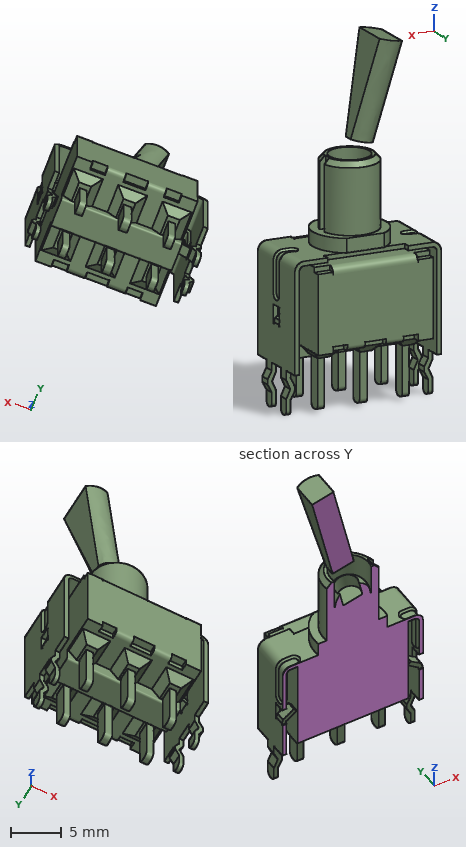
import cadquery as cq
import math


SHEET = 0.5
BRACKET_HALF_X = 8.1
BRACKET_WIDTH = 8.1
BEND_RADIUS = 1.0
LEG_BOTTOM = -11.7
WAIST_HALF_X = 4.47
WAIST_HALF_Y = 3.23

RIB_DEPTH = 0.23
RIB_HALF_MOUTH = 0.65
RIB_HALF_FLOOR = 0.4
RIB_END_X = 6.4
RIB_END_Z = -4.35

WINDOW_WIDTH = 1.3
WINDOW_TOP = -5.55
WINDOW_BOTTOM = -7.55
TAB_WIDTH = 1.05
TAB_TIP_TOP_X = 6.73
TAB_TIP_TOP_Z = -6.1
TAB_TIP_LOW_Z = -6.45
TAB_ROOT_TOP_Z = -6.95
TAB_ROOT_LOW_Z = -7.35
TAB_BEND_SETBACK = 0.15

TAIL_WIDTH = 1.2
TAIL_Y = 1.58
TAIL_BOTTOM = -16.38
KINK = 0.45
KINK_TOP = -12.5
KINK_MIDDLE = -13.65
KINK_FLAT = 0.55
HOLLOW_SETBACK = 0.15
TIP_RADIUS = 0.55

HOUSING_HALF_X = 6.4
HOUSING_HALF_Y = 5.7
HOUSING_TOP = -SHEET
HOUSING_BOTTOM = -9.4
COVER_HALF_X = 4.7
COVER_RADIUS = 0.8
COVER_BOTTOM = -8.7
POST_TOP = -1.0
HOOK_X = 2.15
HOOK_WIDTH = 1.95
HOOK_LIP = 0.15
BASE_HALF_Y = 1.5
BASE_BOTTOM = -10.85
BASE_ROUNDING = 0.23

PIN_PITCH_X = 4.7
PIN_Y = 2.33
PIN_DEPTH_Y = 1.43
OUTER_PIN_WIDTH = 0.75
MIDDLE_PIN_WIDTH = 0.85
PIN_BOTTOM = -15.95
ROOT_BOTTOM = -10.4
ROOT_TOP_X = 3.08
ROOT_TOP_Y = 4.3
ROOT_LOW_X = 1.28
ROOT_LOW_Y = 2.48

FLANGE_DIAMETER = 8.08
FLANGE_HALF_FLATS = 3.45
FLANGE_TOP = 1.5
BUSHING_DIAMETER = 6.15
BUSHING_TOP = 9.05
BUSHING_CHAMFER_SIDE = 0.53
BUSHING_CHAMFER_HEIGHT = 0.55
BORE_DIAMETER = 4.4
KEYWAY_WIDTH = 0.98
KEYWAY_FLOOR_X = 2.35

PIVOT_Z = 5.55
BALL_RADIUS = 2.15
SOCKET_DIAMETER = 2.55
LEVER_TILT = math.radians(12.7)
LEVER_START = 4.95
LEVER_LENGTH = 10.8
LEVER_THICKNESS = 2.55
LEVER_TOP_DIAMETER = 5.1
LEVER_LOW_DIAMETER = 2.78

LEG_INNER_X = BRACKET_HALF_X - SHEET


def box(x0, x1, y0, y1, z0, z1):
    """Axis-aligned block between two opposite corners."""
    return cq.Workplane("XY").box(x1 - x0, y1 - y0, z1 - z0, centered=False).translate((x0, y0, z0))


def mirrored_x(shape):
    """A shape together with its mirror image on the other side of X = 0."""
    return shape.union(shape.mirror("YZ"))


def mirrored_y(shape):
    """A shape together with its mirror image on the other side of Y = 0."""
    return shape.union(shape.mirror("XZ"))


def xz_prism(points, width, y_middle=0.0):
    """Polygon in the XZ plane, extruded to a width centred on y_middle."""
    prism = cq.Workplane("XZ").polyline(points).close().extrude(width / 2, both=True)
    return prism.translate((0, y_middle, 0))


def along_lever(distance):
    """Plane across the lever axis, at a distance from the pivot."""
    axis = (-math.sin(LEVER_TILT), 0, math.cos(LEVER_TILT))
    origin = (axis[0] * distance, 0, PIVOT_Z + axis[2] * distance)
    return cq.Plane(origin=origin, xDir=(axis[2], 0, -axis[0]), normal=axis)


def bent_strip():
    """U-shaped strip with rounded bends, narrowed beside the flange."""
    outside = box(-BRACKET_HALF_X, BRACKET_HALF_X, -BRACKET_WIDTH / 2, BRACKET_WIDTH / 2, LEG_BOTTOM, 0)
    outside = outside.edges("|Y and >Z").fillet(BEND_RADIUS)
    inside = box(-LEG_INNER_X, LEG_INNER_X, -BRACKET_WIDTH / 2, BRACKET_WIDTH / 2, LEG_BOTTOM, -SHEET)
    inside = inside.edges("|Y and >Z").fillet(BEND_RADIUS - SHEET)
    side_notch = box(-WAIST_HALF_X, WAIST_HALF_X, WAIST_HALF_Y, BRACKET_WIDTH / 2, -SHEET, 0)
    return outside.cut(inside).cut(mirrored_y(side_notch))


def pressed_rib(level):
    """Tapered bar that follows the bend at a depth of level below the outer faces."""
    radius = BEND_RADIUS - level
    side_x = BRACKET_HALF_X - level
    bend_x = BRACKET_HALF_X - BEND_RADIUS
    slant = radius * math.sqrt(0.5)
    path = (
        cq.Workplane("XZ")
        .moveTo(RIB_END_X, -level)
        .lineTo(bend_x, -level)
        .threePointArc((bend_x + slant, slant - BEND_RADIUS), (side_x, -BEND_RADIUS))
        .lineTo(side_x, RIB_END_Z)
    )
    section = (
        cq.Workplane("YZ", origin=(RIB_END_X, 0, -level))
        .polyline([
            (-RIB_HALF_MOUTH, 0),
            (RIB_HALF_MOUTH, 0),
            (RIB_HALF_FLOOR, -RIB_DEPTH),
            (-RIB_HALF_FLOOR, -RIB_DEPTH),
        ])
        .close()
    )
    bar = section.sweep(path)
    ends = [((RIB_END_X, 0, -level), (0, 0, -1)), ((side_x, 0, RIB_END_Z), (-1, 0, 0))]
    for centre, inward in ends:
        cone = cq.Solid.makeCone(
            RIB_HALF_MOUTH, RIB_HALF_FLOOR, RIB_DEPTH, cq.Vector(*centre), cq.Vector(*inward)
        )
        bar = bar.union(cq.Workplane(cone))
    return bar


def latch_window():
    return box(
        LEG_INNER_X, BRACKET_HALF_X, -WINDOW_WIDTH / 2, WINDOW_WIDTH / 2, WINDOW_BOTTOM, WINDOW_TOP
    )


def latch_tab():
    """Tab that leans inward until its tip meets the housing."""
    points = [
        (BRACKET_HALF_X, WINDOW_BOTTOM),
        (BRACKET_HALF_X, TAB_ROOT_LOW_Z),
        (BRACKET_HALF_X - TAB_BEND_SETBACK, TAB_ROOT_TOP_Z),
        (TAB_TIP_TOP_X, TAB_TIP_TOP_Z),
        (HOUSING_HALF_X, TAB_TIP_LOW_Z),
        (LEG_INNER_X, TAB_ROOT_LOW_Z),
        (LEG_INNER_X, WINDOW_BOTTOM),
    ]
    return xz_prism(points, TAB_WIDTH)


def tail(side):
    """Round-tipped tail at Y = side * TAIL_Y; -1 kinks outward and +1 kinks inward."""
    kink_bottom = 2 * KINK_MIDDLE - KINK_TOP
    if side < 0:
        bulging_x, hollow_x, shift = BRACKET_HALF_X, LEG_INNER_X, KINK
    else:
        bulging_x, hollow_x, shift = LEG_INNER_X, BRACKET_HALF_X, -KINK
    points = [
        (bulging_x, LEG_BOTTOM),
        (bulging_x, KINK_TOP),
        (bulging_x + shift, KINK_MIDDLE + KINK_FLAT / 2),
        (bulging_x + shift, KINK_MIDDLE - KINK_FLAT / 2),
        (bulging_x, kink_bottom),
        (bulging_x, TAIL_BOTTOM),
        (hollow_x, TAIL_BOTTOM),
        (hollow_x, kink_bottom + HOLLOW_SETBACK),
        (hollow_x + shift, KINK_MIDDLE),
        (hollow_x, KINK_TOP - HOLLOW_SETBACK),
        (hollow_x, LEG_BOTTOM),
    ]
    blank = xz_prism(points, TAIL_WIDTH, side * TAIL_Y)
    return blank.faces("<Z").edges("|X").fillet(TIP_RADIUS)


def bracket():
    leg_features = pressed_rib(SHEET).union(latch_tab()).union(tail(-1)).union(tail(1))
    strip = bent_strip().cut(mirrored_x(pressed_rib(0))).cut(mirrored_x(latch_window()))
    return strip.union(mirrored_x(leg_features))


def hook():
    """Round-edged hook under the lower edge of the cover."""
    root_y = HOUSING_HALF_Y - COVER_RADIUS
    drop = COVER_BOTTOM - HOUSING_BOTTOM
    block = box(
        HOOK_X - HOOK_WIDTH / 2, HOOK_X + HOOK_WIDTH / 2, root_y, HOUSING_HALF_Y, HOUSING_BOTTOM, COVER_BOTTOM
    )
    return block.edges("|X and >Y and <Z").fillet(drop - HOOK_LIP)


def housing_block():
    """Case on a narrower base; each long side has a round-topped cover between two corner posts."""
    root_y = HOUSING_HALF_Y - COVER_RADIUS
    case = box(-HOUSING_HALF_X, HOUSING_HALF_X, -root_y, root_y, HOUSING_BOTTOM, HOUSING_TOP)
    cover = box(-COVER_HALF_X, COVER_HALF_X, 0, HOUSING_HALF_Y, COVER_BOTTOM, HOUSING_TOP)
    cover = cover.edges("|X and >Y and >Z").fillet(COVER_RADIUS)
    post = box(COVER_HALF_X, HOUSING_HALF_X, root_y, HOUSING_HALF_Y, HOUSING_BOTTOM, POST_TOP)
    side = cover.union(mirrored_x(post)).union(mirrored_x(hook()))
    base = box(
        -HOUSING_HALF_X, HOUSING_HALF_X, -BASE_HALF_Y, BASE_HALF_Y, BASE_BOTTOM, HOUSING_BOTTOM
    )
    base = base.faces("<Z").edges("|X").fillet(BASE_ROUNDING)
    return case.union(mirrored_y(side)).union(base)


def terminal(x, y):
    """Round-tipped pin with the tapered root that it leaves the housing through."""
    width = OUTER_PIN_WIDTH if x else MIDDLE_PIN_WIDTH
    pin = box(
        x - width / 2, x + width / 2, y - PIN_DEPTH_Y / 2, y + PIN_DEPTH_Y / 2, PIN_BOTTOM, HOUSING_BOTTOM
    )
    pin = pin.faces("<Z").edges("|X").fillet(TIP_RADIUS)
    root = (
        cq.Workplane("XY", origin=(x, y, HOUSING_BOTTOM))
        .rect(ROOT_TOP_X, ROOT_TOP_Y)
        .workplane(offset=ROOT_BOTTOM - HOUSING_BOTTOM)
        .rect(ROOT_LOW_X, ROOT_LOW_Y)
        .loft(ruled=True)
    )
    return root.union(pin)


def bushing():
    """Flanged bushing, bored down to the middle of the pivot ball."""
    flange = cq.Workplane("XY", origin=(0, 0, 0)).circle(FLANGE_DIAMETER / 2)
    flange = flange.extrude(FLANGE_TOP)
    flats = box(
        -FLANGE_DIAMETER, FLANGE_DIAMETER, -FLANGE_HALF_FLATS, FLANGE_HALF_FLATS, 0, FLANGE_TOP
    )
    tube = cq.Workplane("XY").circle(BUSHING_DIAMETER / 2).extrude(BUSHING_TOP)
    tube = tube.faces(">Z").chamfer(BUSHING_CHAMFER_HEIGHT, BUSHING_CHAMFER_SIDE)
    bore = cq.Workplane("XY", origin=(0, 0, PIVOT_Z)).circle(BORE_DIAMETER / 2)
    bore = bore.extrude(BUSHING_TOP - PIVOT_Z)
    keyway = box(
        KEYWAY_FLOOR_X, BUSHING_DIAMETER, -KEYWAY_WIDTH / 2, KEYWAY_WIDTH / 2, FLANGE_TOP, BUSHING_TOP
    )
    return flange.intersect(flats).union(tube).cut(bore).cut(keyway)


def pivot_ball():
    """Ball, and the blind socket sunk to its centre along the lever axis."""
    ball = cq.Workplane("XY", origin=(0, 0, PIVOT_Z)).sphere(BALL_RADIUS)
    socket = cq.Workplane(along_lever(0)).circle(SOCKET_DIAMETER / 2).extrude(BALL_RADIUS)
    return ball, socket


def switch_body():
    body = housing_block().union(bracket()).union(bushing())
    for x in (-PIN_PITCH_X, 0, PIN_PITCH_X):
        for y in (-PIN_Y, PIN_Y):
            body = body.union(terminal(x, y))
    ball, socket = pivot_ball()
    return body.union(ball).cut(socket)


def lever_section(workplane, diameter):
    """Circle cut down to two flats that are the lever thickness apart."""
    half = LEVER_THICKNESS / 2
    flat_end = math.sqrt((diameter / 2) ** 2 - half ** 2)
    return (
        workplane.moveTo(-half, -flat_end)
        .threePointArc((0, -diameter / 2), (half, -flat_end))
        .lineTo(half, flat_end)
        .threePointArc((0, diameter / 2), (-half, flat_end))
        .close()
    )


def lever():
    """Tilted lever with flat faces, widening towards its free end."""
    low = lever_section(cq.Workplane(along_lever(LEVER_START)), LEVER_LOW_DIAMETER)
    return lever_section(low.workplane(offset=LEVER_LENGTH), LEVER_TOP_DIAMETER).loft(ruled=True)


result = cq.Compound.makeCompound([switch_body().val(), lever().val()])